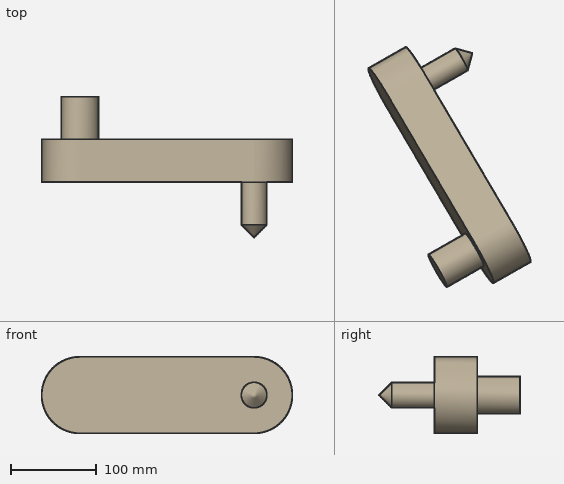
import cadquery as cq

arm_length = 293.3
arm_width = 89.8
arm_thickness = 50.2
center_distance = arm_length - arm_width

pin_length = 50.0
rear_pin_diameter = 44.0
front_pin_diameter = arm_width / 3
front_pin_radius = front_pin_diameter / 2
tip_length = front_pin_radius

rear_pin_x = -center_distance / 2
front_pin_x = center_distance / 2


def make_arm():
    """Bar with full-round ends, front face on Y = 0."""
    return cq.Workplane("XZ").slot2D(arm_length, arm_width).extrude(-arm_thickness)


def make_rear_pin():
    """Plain cylinder standing on the +Y face."""
    return (
        cq.Workplane("XZ", origin=(rear_pin_x, arm_thickness, 0))
        .circle(rear_pin_diameter / 2)
        .extrude(-pin_length)
    )


def make_front_pin():
    """Pointed pin standing on the -Y face, revolved about its own axis."""
    return (
        cq.Workplane("XY", origin=(front_pin_x, 0, 0))
        .polyline([
            (0, 0),
            (front_pin_radius, 0),
            (front_pin_radius, -pin_length),
            (0, -pin_length - tip_length),
        ])
        .close()
        .revolve(360, (0, 0, 0), (0, 1, 0))
    )


result = make_arm().union(make_rear_pin()).union(make_front_pin())